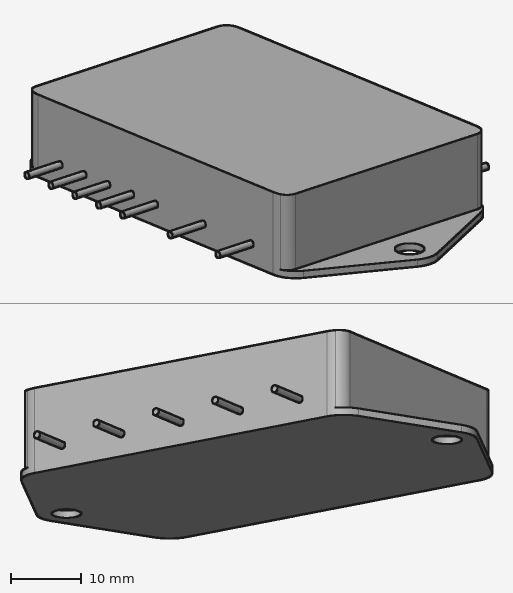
import cadquery as cq

length = 73.4
pin_span = 50.8
height = 12.55
flange_width = 38.25
flange_thickness = 1.1
flange_corner_radius = 4.25
corner_center_x = 24.95
case_length = 55.05
case_corner_radius = 1.8
hole_diameter = 4.2
pin_diameter = 1.0
pin_height = 3.3
pin_pitch = 5.1

front_pins = [-4, -3, -2, -1, 0, 2, 4]
back_pins = [-4, -2, 0, 2, 4]

ear_center_x = length / 2 - flange_corner_radius
corner_center_y = flange_width / 2 - flange_corner_radius


def flange_outline(thickness):
    """Hexagon through the arc centers, grown outward to round its corners."""
    centers = [
        (-ear_center_x, 0),
        (-corner_center_x, -corner_center_y),
        (corner_center_x, -corner_center_y),
        (ear_center_x, 0),
        (corner_center_x, corner_center_y),
        (-corner_center_x, corner_center_y),
    ]
    outline = cq.Workplane("XY").polyline(centers).close()
    return outline.offset2D(flange_corner_radius, "arc").extrude(thickness)


def make_flange():
    holes = (
        cq.Workplane("XY")
        .pushPoints([(-ear_center_x, 0), (ear_center_x, 0)])
        .circle(hole_diameter / 2)
        .extrude(flange_thickness)
    )
    return flange_outline(flange_thickness).cut(holes)


def make_case():
    """Block following the flange corners, with its end edges rounded."""
    block = cq.Workplane("XY").box(case_length, flange_width, height, centered=(True, True, False))
    case = block.intersect(flange_outline(height))
    end_edges = case.faces("<X or >X").edges("|Z")
    return case.newObject(end_edges.vals()).fillet(case_corner_radius)


def make_pins(places, side):
    """Row of pins from the middle of the case out to side (-1 front, +1 back)."""
    points = [(place * pin_pitch, pin_height) for place in places]
    return (
        cq.Workplane("XZ")
        .pushPoints(points)
        .circle(pin_diameter / 2)
        .extrude(-side * pin_span / 2)
    )


result = (
    make_flange()
    .union(make_case())
    .union(make_pins(front_pins, -1))
    .union(make_pins(back_pins, 1))
)